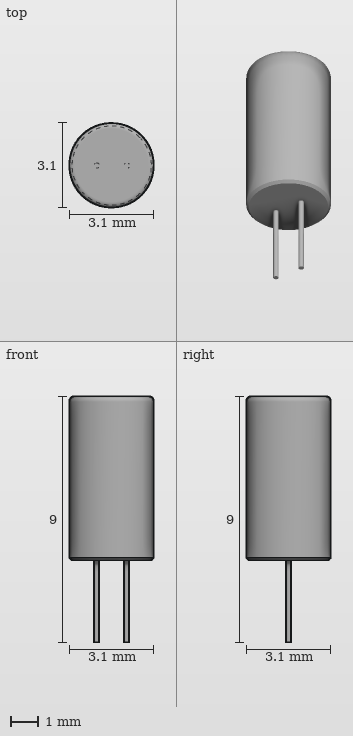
import cadquery as cq

total_height = 9.0
can_diameter = 3.1
lead_length = 3.0
can_height = total_height - lead_length
top_fillet = 0.2
bottom_chamfer = 0.1

lead_diameter = 0.2
lead_spacing = 1.1


def make_can():
    """Solid can with a rounded top rim and a chamfered bottom rim; its base lies at Z = 0."""
    can = cq.Workplane("XY").circle(can_diameter / 2).extrude(can_height)
    can = can.faces(">Z").edges().fillet(top_fillet)
    return can.faces("<Z").edges().chamfer(bottom_chamfer)


def make_lead(x):
    """Straight round lead hanging from the base of the can."""
    return cq.Workplane("XY").center(x, 0).circle(lead_diameter / 2).extrude(-lead_length)


can = make_can()
leads = [make_lead(side * lead_spacing / 2) for side in (-1, 1)]

result = cq.Compound.makeCompound([can.val(), *[lead.val() for lead in leads]])